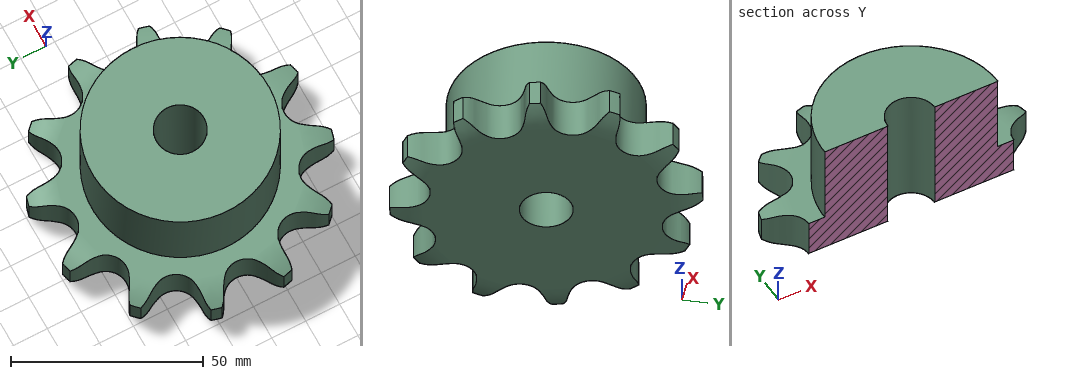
import cadquery as cq
import math

tooth_count = 12
chain_pitch = 19.05
roller_diameter = 11.9
tip_radius = 40.7
plate_thickness = 11.1
hub_diameter = 52.0
bore_diameter = 14.0
total_height = 35.0

relief_start_radius = 32.4
relief_depth = 2.0

working_factor = 0.8
topping_factor = 1.4
seating_clearance = 0.07
seating_angle = 35 + 60 / tooth_count
working_angle = 18 - 56 / tooth_count
topping_angle = 17 - 64 / tooth_count

pitch_angle = 360 / tooth_count
pitch_radius = chain_pitch / (2 * math.sin(math.radians(pitch_angle / 2)))
seating_radius = roller_diameter / 2 + seating_clearance
working_offset = working_factor * roller_diameter
working_radius = seating_radius + working_offset
topping_offset = topping_factor * roller_diameter
straight_length = (
    topping_offset * math.sin(math.radians(topping_angle))
    - working_offset * math.sin(math.radians(working_angle))
)
topping_radius = (
    working_offset * math.cos(math.radians(working_angle))
    + topping_offset * math.cos(math.radians(topping_angle))
    - working_radius
)


def polar(center, radius, degrees):
    """Point at a radius and direction from a center."""
    angle = math.radians(degrees)
    return (center[0] + radius * math.cos(angle), center[1] + radius * math.sin(angle))


def mirrored(point):
    """Same point on the opposite flank of a gap that opens along +Y."""
    return (-point[0], point[1])


def make_gap_cutter():
    """Space between two teeth, opening along +Y and cut through the plate."""
    roller_center = (0, pitch_radius)
    working_center = polar(roller_center, working_offset, 180 - seating_angle)
    flank_normal = working_angle - seating_angle

    root = (0, pitch_radius - seating_radius)
    seating_end = polar(roller_center, seating_radius, -seating_angle)
    working_mid = polar(working_center, working_radius, working_angle / 2 - seating_angle)
    working_end = polar(working_center, working_radius, flank_normal)
    straight_end = polar(working_end, straight_length, flank_normal + 90)
    topping_center = polar(straight_end, topping_radius, flank_normal)

    center_distance = math.hypot(*topping_center)
    center_direction = math.degrees(math.atan2(topping_center[1], topping_center[0]))
    cos_tip = (tip_radius**2 + center_distance**2 - topping_radius**2) / (
        2 * tip_radius * center_distance
    )
    tip = polar((0, 0), tip_radius, center_direction + math.degrees(math.acos(cos_tip)))
    tip_direction = math.degrees(math.atan2(tip[1] - topping_center[1], tip[0] - topping_center[0]))
    topping_mid = polar(topping_center, topping_radius, (flank_normal + 180 + tip_direction) / 2)
    outside = (tip[0], 2 * tip_radius)

    return (
        cq.Workplane("XY")
        .moveTo(*outside)
        .lineTo(*tip)
        .threePointArc(topping_mid, straight_end)
        .lineTo(*working_end)
        .threePointArc(working_mid, seating_end)
        .threePointArc(root, mirrored(seating_end))
        .threePointArc(mirrored(working_mid), mirrored(working_end))
        .lineTo(*mirrored(straight_end))
        .threePointArc(mirrored(topping_mid), mirrored(tip))
        .lineTo(*mirrored(outside))
        .close()
        .extrude(plate_thickness)
    )


def make_blank():
    """Disc whose rim curves in from both faces toward the tip circle."""
    relief_length = tip_radius - relief_start_radius
    relief_radius = (relief_length**2 + relief_depth**2) / (2 * relief_depth)
    half_length = relief_length / 2
    half_drop = relief_radius - math.sqrt(relief_radius**2 - half_length**2)
    mid_radius = relief_start_radius + half_length
    return (
        cq.Workplane("XZ")
        .lineTo(relief_start_radius, 0)
        .threePointArc((mid_radius, half_drop), (tip_radius, relief_depth))
        .lineTo(tip_radius, plate_thickness - relief_depth)
        .threePointArc(
            (mid_radius, plate_thickness - half_drop),
            (relief_start_radius, plate_thickness),
        )
        .lineTo(0, plate_thickness)
        .close()
        .revolve(360, (0, 0), (0, 1))
    )


def make_sprocket():
    """Toothed plate with a hub on its upper side and a bore through both."""
    sprocket = make_blank()
    gap_cutter = make_gap_cutter()
    for index in range(tooth_count):
        sprocket = sprocket.cut(gap_cutter.rotate((0, 0, 0), (0, 0, 1), index * pitch_angle))
    hub = cq.Workplane("XY").circle(hub_diameter / 2).extrude(total_height)
    bore = cq.Workplane("XY").circle(bore_diameter / 2).extrude(total_height)
    return sprocket.union(hub).cut(bore)


result = make_sprocket()